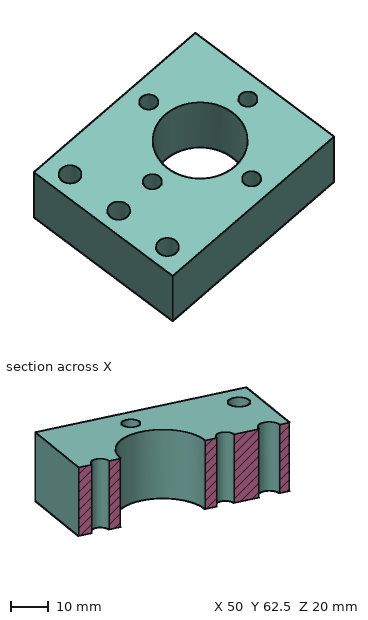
import cadquery as cq

width = 50.0
length = 62.5
height = 20.0

bore_diameter = width / 2
bore_y = length / 2 - width / 2
ring_hole_diameter = 5.0
ring_radius = 18.5
ring_hole_count = 4

mount_hole_diameter = 6.0
mount_hole_spacing = 17.5
mount_hole_inset = 6.0
mount_row_y = -length / 2 + mount_hole_inset
mount_points = [(column * mount_hole_spacing, mount_row_y) for column in (-1, 0, 1)]


def top_plane(y_offset=0.0):
    """Workplane on the top face, shifted along Y from the block centre."""
    return cq.Workplane("XY", origin=(0, y_offset, height / 2))


def through_cutters(sketch_with_circles):
    """Extrude circles on the top face down through the whole block."""
    return sketch_with_circles.extrude(-height)


block = cq.Workplane("XY").box(width, length, height)

bore = through_cutters(top_plane(bore_y).circle(bore_diameter / 2))

ring_holes = through_cutters(
    top_plane(bore_y)
    .polarArray(ring_radius, 0, 360, ring_hole_count)
    .circle(ring_hole_diameter / 2)
)

mount_holes = through_cutters(
    top_plane().pushPoints(mount_points).circle(mount_hole_diameter / 2)
)

result = block.cut(bore).cut(ring_holes).cut(mount_holes)